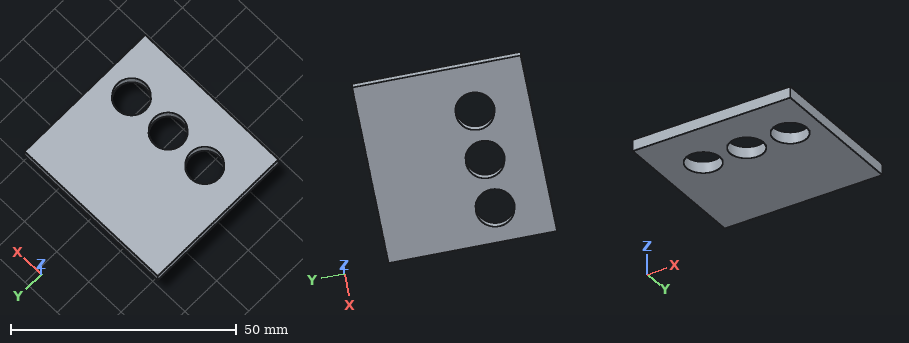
import cadquery as cq

length = 41.4
width = 38.1
thickness = 3.0

hole_diameter = 8.65
hole_count = 3
hole_pitch = 11.4
first_hole_x = 10.7
hole_row_y = 12.4

hole_centers = [(first_hole_x + i * hole_pitch, hole_row_y) for i in range(hole_count)]

plate = cq.Workplane("XY").box(length, width, thickness, centered=False)
holes = cq.Workplane("XY").pushPoints(hole_centers).circle(hole_diameter / 2).extrude(thickness)

result = plate.cut(holes)